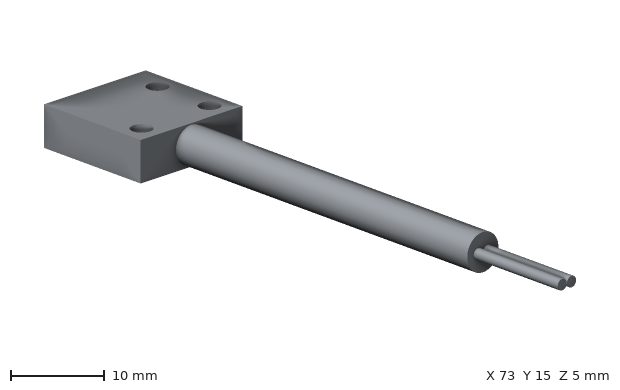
import cadquery as cq

total_length = 73.0

head_side = 15.0
head_height = 5.0

hole_diameter = 2.55
hole_edge_distance = 2.5
hole_pitch_x = 8.0

window_length = 9.9
window_height = 3.3

jacket_diameter = 4.6
jacket_end = 60.0
wire_diameter = 1.3
wire_spacing = 1.4


def x_cylinder(diameter, start, end, y=0.0):
    """Cylinder along X from start to end, centred on Z = 0."""
    return (
        cq.Workplane("YZ", origin=(start, y, 0))
        .circle(diameter / 2)
        .extrude(end - start)
    )


def make_head():
    return cq.Workplane("XY").box(head_side, head_side, head_height).translate((head_side / 2, 0, 0))


def make_mounting_holes():
    """Two holes along the +Y edge and one in the +X, -Y corner."""
    right_x = head_side - hole_edge_distance
    left_x = right_x - hole_pitch_x
    row_y = head_side / 2 - hole_edge_distance
    centres = [(left_x, row_y), (right_x, row_y), (right_x, -row_y)]
    return (
        cq.Workplane("XY", origin=(0, 0, -head_height / 2))
        .pushPoints(centres)
        .circle(hole_diameter / 2)
        .extrude(head_height)
    )


def make_window_face():
    """Flat face lying on the -Y side of the head, with the outline of the window."""
    end_radius = window_height / 2
    arc_start = window_length - end_radius
    outline = (
        cq.Workplane("XZ", origin=(0, -head_side / 2, 0))
        .moveTo(0, -end_radius)
        .lineTo(arc_start, -end_radius)
        .threePointArc((window_length, 0), (arc_start, end_radius))
        .lineTo(0, end_radius)
        .close()
    )
    return cq.Face.makeFromWires(outline.val())


body = make_head().cut(make_mounting_holes())
body = body.union(x_cylinder(jacket_diameter, head_side, jacket_end))
for side in (-1, 1):
    wire = x_cylinder(wire_diameter, jacket_end, total_length, side * wire_spacing / 2)
    body = body.union(wire)

marked_body = body.val().split(make_window_face())
result = cq.Workplane(marked_body.Solids()[0])